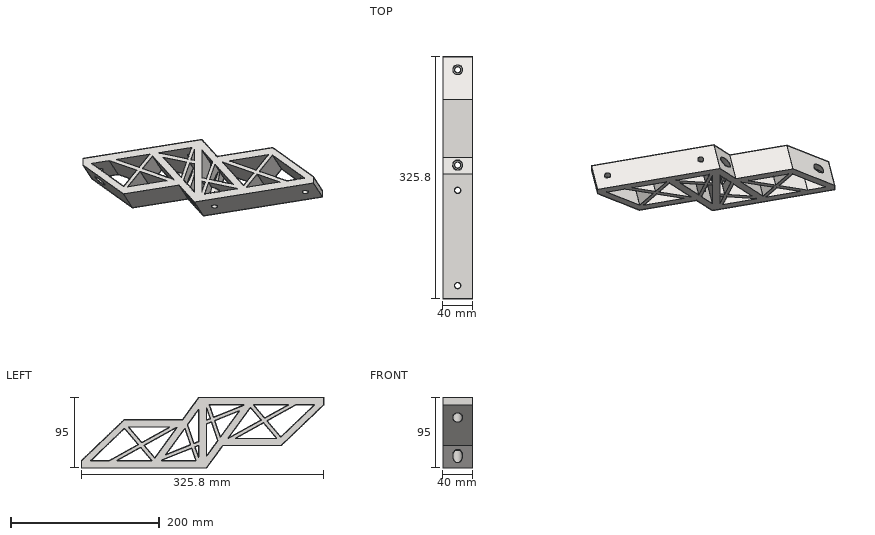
import cadquery as cq
import math

width = 40.0
length = 325.82
height = 95.0

plate = 10.0
web = 10.5
leg_height = 65.0
end_wall = 8.75
diagonal_wall = 9.5
brace = 5.0
stout_brace = 5.5

end_angle = math.radians(43.75)
diagonal_angle = math.radians(54.0)

outer_steep_top_y = 103.0
outer_steep_bottom_y = 64.8
outer_shallow_bottom_y = 120.4
outer_shallow_top_y = 39.3
inner_steep_top = (22.15, 56.0)
inner_steep_bottom_y = 6.5
inner_shallow_low = (53.0, 14.0)
inner_shallow_web_z = 33.1
bar_overrun = 0.5

screw_diameter = 8.0
access_diameter = 13.0
outer_hole_y = 145.0
inner_hole_y = 17.0

half_length = length / 2
half_web = web / 2
mid_height = height / 2
ceiling = leg_height - plate
shoulder_y = half_length - (leg_height - plate) / math.tan(end_angle)
notch_y = half_web + (height - leg_height) / math.tan(diagonal_angle)


def end_inner_y(z):
    """Y of the inner face of the sloped end wall at height z."""
    return half_length - (z - plate) / math.tan(end_angle) - end_wall / math.sin(end_angle)


def diagonal_y(z, depth):
    """Y of the diagonal wall at height z, at a given depth below its outer face."""
    outer = half_web + (height - z) / math.tan(diagonal_angle)
    return outer - depth / math.sin(diagonal_angle)


def prism(points):
    """Full-width prism from a list of (y, z) corners."""
    return cq.Workplane("YZ").polyline(points).close().extrude(width / 2, both=True)


def half_turn(shape):
    """The shape turned half a turn about the X axis through the part's centre."""
    return shape.rotate((0, 0, mid_height), (1, 0, mid_height), 180)


def brace_bar(start, end, thickness=brace):
    """Straight bar whose centreline runs through two (y, z) points and well past both."""
    dy = end[0] - start[0]
    dz = end[1] - start[1]
    run = math.hypot(dy, dz)
    ny = -dz / run * thickness / 2
    nz = dy / run * thickness / 2
    y0 = start[0] - dy * bar_overrun
    z0 = start[1] - dz * bar_overrun
    y1 = end[0] + dy * bar_overrun
    z1 = end[1] + dz * bar_overrun
    return prism([(y0 + ny, z0 + nz), (y1 + ny, z1 + nz), (y1 - ny, z1 - nz), (y0 - ny, z0 - nz)])


def body():
    half_outline = [
        (half_length, 0),
        (half_length, plate),
        (shoulder_y, leg_height),
        (notch_y, leg_height),
        (half_web, height),
    ]
    opposite = [(-y, height - z) for y, z in half_outline]
    return prism(half_outline + opposite)


def outer_windows():
    """Openings of the four-sided cell beside the sloped end wall."""
    cell = prism([
        (end_inner_y(plate), plate),
        (end_inner_y(ceiling), ceiling),
        (diagonal_y(ceiling, 0), ceiling),
        (diagonal_y(plate, 0), plate),
    ])
    steep = brace_bar((outer_steep_top_y, ceiling), (outer_steep_bottom_y, plate), stout_brace)
    shallow = brace_bar((outer_shallow_bottom_y, plate), (outer_shallow_top_y, ceiling))
    return cell.cut(steep).cut(shallow)


def inner_windows():
    """Openings of the three-sided cell between the diagonal wall and the web."""
    apex_z = height - diagonal_wall / math.cos(diagonal_angle)
    cell = prism([
        (diagonal_y(plate, diagonal_wall), plate),
        (half_web, apex_z),
        (half_web, plate),
    ])
    steep = brace_bar(inner_steep_top, (inner_steep_bottom_y, plate))
    shallow = brace_bar(inner_shallow_low, (half_web, inner_shallow_web_z))
    return cell.cut(steep).cut(shallow)


def mounting_hole(y):
    """Screw hole through the bottom plate with a wide access bore above it."""
    place = cq.Workplane("XY").center(0, y)
    screw = place.circle(screw_diameter / 2).extrude(height)
    access = place.workplane(offset=plate).circle(access_diameter / 2).extrude(height)
    return screw.union(access)


cutters = [
    outer_windows(),
    inner_windows(),
    mounting_hole(outer_hole_y),
    mounting_hole(inner_hole_y),
]

result = body()
for cutter in cutters:
    result = result.cut(cutter).cut(half_turn(cutter))